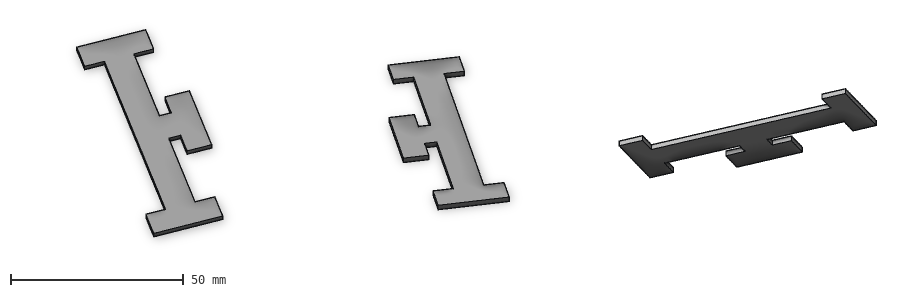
import cadquery as cq

length = 72.48
depth = 26.08
thickness = 1.6

flange_width = 7.5
flange_depth = 21.0

web_depth = 9.0

tab_offset = -0.34
head_length = 21.0
head_depth = 7.5
neck_width = 8.8


def block(x_center, y_center, x_size, y_size):
    """Plate-thick rectangular block centred at the given point, standing on Z = 0."""
    return (
        cq.Workplane("XY")
        .center(x_center, y_center)
        .rect(x_size, y_size)
        .extrude(thickness)
    )


tab_top = depth - flange_depth / 2
head_center = tab_top - head_depth / 2
flange_center = (length - flange_width) / 2

result = block(0, 0, length - flange_width, web_depth)
for side in (-1, 1):
    result = result.union(block(side * flange_center, 0, flange_width, flange_depth))

result = result.union(block(tab_offset, head_center / 2, neck_width, head_center))
result = result.union(block(tab_offset, head_center, head_length, head_depth))